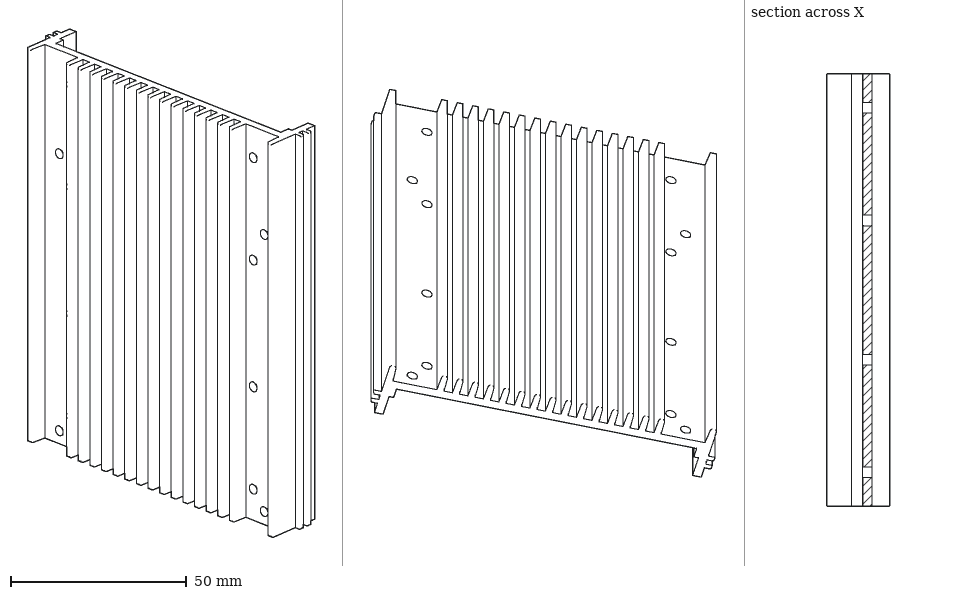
import cadquery as cq

length = 123.0
overall_width = 100.0
overall_depth = 18.0
half_width = overall_width / 2
back = overall_depth / 2
front = -back

base_front = front + 5.0
base_back = front + 7.7

wall_outer = 48.0
wall_inner = 45.4
wall_tip_inner = 46.1
wall_root_inner = 45.8
step_inner = 44.0
step_back = front + 11.0

rib_thickness = 1.5
rib_centres = (front + 10.3, front + 13.4)

fin_count = 15
fin_pitch = 4.5
fin_tip_width = 1.7
fin_root_width = 2.1

edge_radius = 0.5

hole_diameter = 3.0
inner_hole_x = 35.8
inner_hole_heights = (-51.8, -19.8, 19.8, 51.8)
outer_hole_x = 40.1
outer_hole_heights = (-57.5, 29.2)


def extrude_outline(points):
    """Extrude an XY outline over the full length, centred on Z = 0."""
    return cq.Workplane("XY").polyline(points).close().extrude(length / 2, both=True)


def make_base():
    return cq.Workplane("XY").box(2 * wall_outer, base_back - base_front, length).translate(
        (0, (base_front + base_back) / 2, 0)
    )


def make_wall():
    """Right-hand wall with its inner step and all edges of its front and back faces rounded."""
    wall = extrude_outline([
        (wall_tip_inner, front),
        (wall_outer, front),
        (wall_outer, back),
        (wall_inner, back),
        (wall_inner, step_back),
        (step_inner, step_back),
        (step_inner, base_front),
        (wall_root_inner, base_front),
    ])
    return wall.faces("<Y or >Y").edges().fillet(edge_radius)


def make_rib(y_centre):
    """Right-hand outside rib, started inside the wall, with a rounded outer face."""
    rib_depth = half_width - wall_inner
    rib = cq.Workplane("XY").box(rib_depth, rib_thickness, length)
    rib = rib.faces(">X").edges().fillet(edge_radius)
    return rib.translate((half_width - rib_depth / 2, y_centre, 0))


def make_fin():
    """Tapered fin centred on X = 0 with a rounded tip."""
    fin = extrude_outline([
        (-fin_tip_width / 2, front),
        (fin_tip_width / 2, front),
        (fin_root_width / 2, base_front),
        (-fin_root_width / 2, base_front),
    ])
    return fin.faces("<Y").edges().fillet(edge_radius)


def make_holes():
    points = []
    for side in (-1, 1):
        points += [(side * inner_hole_x, z) for z in inner_hole_heights]
        points += [(side * outer_hole_x, z) for z in outer_hole_heights]
    return cq.Workplane("XZ").pushPoints(points).circle(hole_diameter / 2).extrude(back, both=True)


side_profile = make_wall()
for rib_centre in rib_centres:
    side_profile = side_profile.union(make_rib(rib_centre))

body = make_base().union(side_profile).union(side_profile.mirror("YZ"))

fin = make_fin()
for index in range(fin_count):
    fin_x = (index - (fin_count - 1) / 2) * fin_pitch
    body = body.union(fin.translate((fin_x, 0, 0)))

result = body.cut(make_holes())